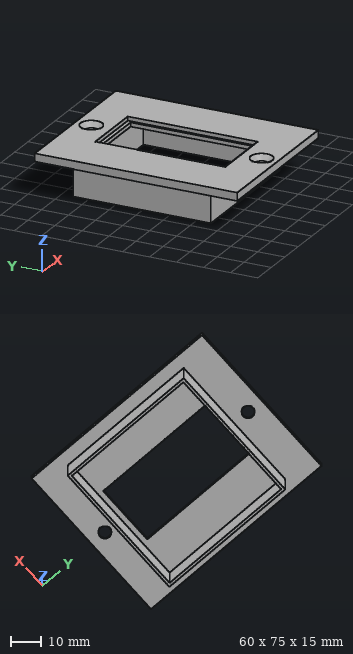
import cadquery as cq

plate_width = 60.0
plate_length = 75.0
plate_thickness = 3.0
total_height = 15.0

skirt_side = 51.0
skirt_wall = 1.0
skirt_height = total_height - plate_thickness

recess_width = 24.0
recess_length = 48.0
recess_depth = 1.5
opening_width = 22.05
opening_length = 45.0

screw_diameter = 4.3
countersink_diameter = 8.0
countersink_angle = 90.0
screw_spacing = 63.0


def block_below(top_z, width, length, height):
    """Centred block extending down from top_z."""
    return cq.Workplane("XY").workplane(offset=top_z).rect(width, length).extrude(-height)


plate = block_below(0, plate_width, plate_length, plate_thickness)
skirt = block_below(-plate_thickness, skirt_side, skirt_side, skirt_height)
cavity_side = skirt_side - 2 * skirt_wall
cavity = block_below(-plate_thickness, cavity_side, cavity_side, skirt_height)
body = plate.union(skirt.cut(cavity))

body = body.cut(block_below(0, recess_width, recess_length, recess_depth))
body = body.cut(block_below(0, opening_width, opening_length, plate_thickness))

result = (
    body.faces(">Z")
    .workplane(origin=(0, 0, 0))
    .pushPoints([(0, -screw_spacing / 2), (0, screw_spacing / 2)])
    .cskHole(screw_diameter, countersink_diameter, countersink_angle, depth=plate_thickness)
)